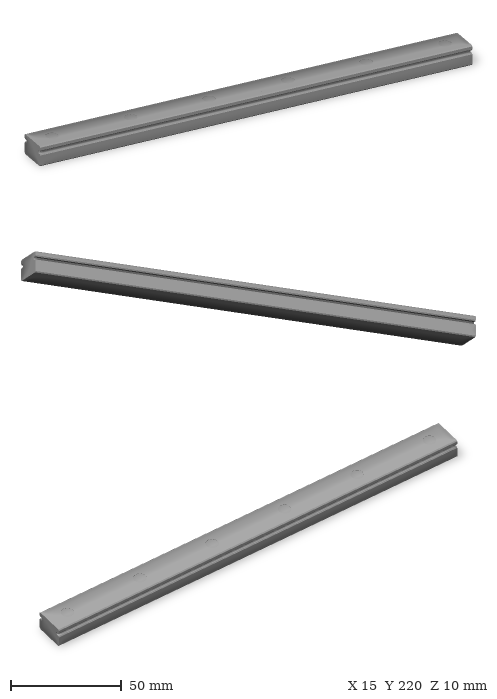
import cadquery as cq

width = 15.0
length = 220.0
height = 10.0
edge_chamfer = 0.5

groove_bottom = 5.6
groove_top = 8.0
groove_depth = 0.5
groove_center = (groove_bottom + groove_top) / 2

relief_half_height = 0.7
relief_shoulder_depth = 1.75
relief_root_depth = 2.0

hole_count = 6
hole_pitch = 40.0
hole_diameter = 6.0
cap_recess = 0.1


def rail_body():
    """Plain bar with chamfered long edges, standing on Z = 0."""
    bar = cq.Workplane("XY").box(width, length, height, centered=(True, True, False))
    return bar.edges("|Y").chamfer(edge_chamfer)


def end_plane():
    """Workplane on the +Y end face; positive extrusion runs along the rail toward -Y."""
    return cq.Workplane("XZ", origin=(0, length / 2, 0))


def groove_cutter():
    """Full-length cutter for the ball groove in the +X flank."""
    flank = width / 2
    track = (
        end_plane()
        .moveTo(flank, groove_bottom)
        .threePointArc((flank - groove_depth, groove_center), (flank, groove_top))
        .close()
        .extrude(length)
    )
    relief_bottom = groove_center - relief_half_height
    relief_top = groove_center + relief_half_height
    shoulder = flank - relief_shoulder_depth
    relief = (
        end_plane()
        .moveTo(flank, relief_bottom)
        .lineTo(shoulder, relief_bottom)
        .lineTo(flank - relief_root_depth, groove_center)
        .lineTo(shoulder, relief_top)
        .lineTo(flank, relief_top)
        .close()
        .extrude(length)
    )
    return track.union(relief)


def cap_recesses():
    """Shallow round recesses in the top face, one at each mounting hole."""
    return (
        cq.Workplane("XY", origin=(0, 0, height))
        .rarray(1, hole_pitch, 1, hole_count)
        .circle(hole_diameter / 2)
        .extrude(-cap_recess)
    )


groove = groove_cutter()
result = rail_body().cut(groove).cut(groove.mirror("YZ")).cut(cap_recesses())